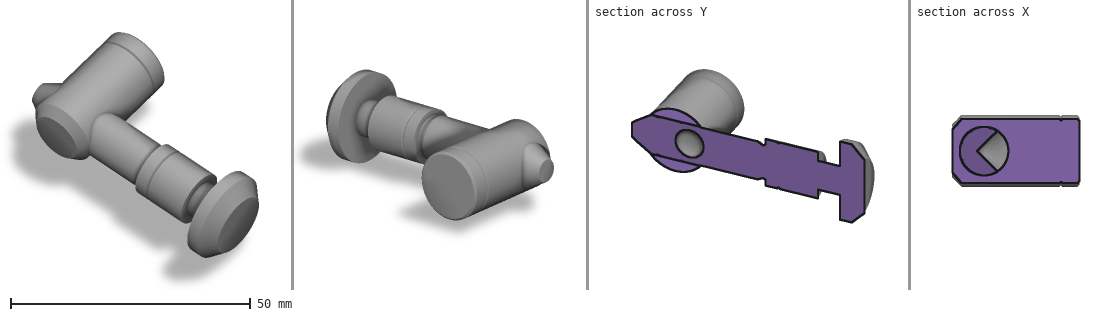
import cadquery as cq
import math

barrel_radius = 7.5
barrel_front_y = -6.7
barrel_back_y = 20.05
barrel_front_chamfer = 2.0
barrel_back_chamfer = 0.5
barrel_groove_y = 16.1

shaft_radius = 5.0
overall_length = 54.0
tip_x = -10.2
tip_radius = 2.5
tip_half_angle = 30.0
tip_length = (shaft_radius - tip_radius) / math.tan(math.radians(tip_half_angle))
relief_start_x = 19.0
relief_floor_x = 20.15
relief_flare_x = 20.45
relief_radius = 4.5
relief_flare_radius = 4.75
sleeve_start_x = 20.8
sleeve_end_x = 33.1
sleeve_radius = 6.0
sleeve_groove_x = 23.8
neck_radius = 4.0
head_start_x = 38.0
head_diameter = 19.5
head_radius = head_diameter / 2
head_chamfer = 2.95
head_end_x = tip_x + overall_length

groove_width = 0.6
groove_depth = 0.295

seat_x = 3.25
seat_radius = 6.4


def v_groove(axial_centre, surface_radius):
    """Three (axial, radius) points of a V groove."""
    return [
        (axial_centre - groove_width / 2, surface_radius),
        (axial_centre, surface_radius - groove_depth),
        (axial_centre + groove_width / 2, surface_radius),
    ]


def make_barrel():
    """Chamfered round barrel with a cross bore for the spindle."""
    profile = [
        (barrel_front_y, 0),
        (barrel_front_y, barrel_radius - barrel_front_chamfer),
        (barrel_front_y + barrel_front_chamfer, barrel_radius),
        *v_groove(barrel_groove_y, barrel_radius),
        (barrel_back_y - barrel_back_chamfer, barrel_radius),
        (barrel_back_y, barrel_radius - barrel_back_chamfer),
        (barrel_back_y, 0),
    ]
    radius_first = [(radius, y) for y, radius in profile]
    body = cq.Workplane("XY").polyline(radius_first).close().revolve(360, (0, 0), (0, 1))
    bore = cq.Workplane("YZ").circle(shaft_radius).extrude(2 * barrel_radius, both=True)
    return body.cut(bore)


def make_conical_seat():
    """45 degree cone pointing to -Y, continued beyond the shaft surface."""
    outer_radius = seat_radius + shaft_radius
    outer_y = 2 * shaft_radius
    return cq.Workplane(cq.Solid.makeCone(
        outer_radius, 0, outer_radius, cq.Vector(seat_x, outer_y, 0), cq.Vector(0, -1, 0)
    ))


def make_spindle():
    """Turned spindle: pointed tip, shaft, grooved sleeve, neck and head."""
    profile = [
        (tip_x, 0),
        (tip_x, tip_radius),
        (tip_x + tip_length, shaft_radius),
        (relief_start_x, shaft_radius),
        (relief_floor_x, relief_radius),
        (relief_flare_x, relief_radius),
        (sleeve_start_x, relief_flare_radius),
        (sleeve_start_x, sleeve_radius),
        *v_groove(sleeve_groove_x, sleeve_radius),
        (sleeve_end_x, sleeve_radius),
        (sleeve_end_x, neck_radius),
        (head_start_x, neck_radius),
        (head_start_x, head_radius),
        (head_end_x - head_chamfer, head_radius),
        (head_end_x, head_radius - head_chamfer),
        (head_end_x, 0),
    ]
    body = cq.Workplane("XY").polyline(profile).close().revolve(360, (0, 0), (1, 0))
    return body.cut(make_conical_seat())


barrel = make_barrel()
spindle = make_spindle()
result = cq.Compound.makeCompound([barrel.val(), spindle.val()])